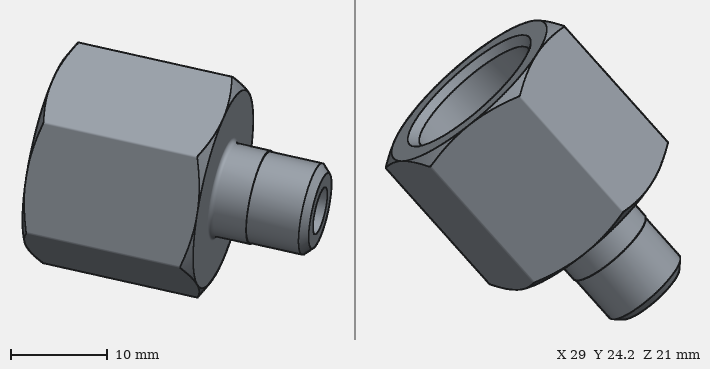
import cadquery as cq
import math

total_length = 29
hex_length = 18.5
collar_length = 4.0

across_flats = 21.0
corner_radius = 0.3
end_chamfer_angle = 30

collar_diameter = 9.92
stem_diameter = 9.72
stem_chamfer = 0.85
neck_fillet = 0.5

entry_diameter = 16.65
entry_chamfer_depth = 0.85
thread_diameter = 14.95
thread_depth = 9.7
relief_diameter = 15.15
relief_length = 4.0
bore_depth = thread_depth + relief_length
floor_fillet = 0.5

passage_diameter = 5.0
passage_chamfer = 0.5


def revolve_about_x(profile):
    """Turn a profile drawn in the XY plane (X along the axis, Y as radius)."""
    return profile.close().revolve(360, (0, 0), (1, 0))


def make_hexagon():
    across_corners = across_flats / math.cos(math.pi / 6)
    prism = (
        cq.Workplane("YZ")
        .polygon(6, across_corners)
        .extrude(hex_length)
        .edges("|X")
        .fillet(corner_radius)
    )

    face_radius = across_flats / 2
    corner_reach = across_corners / 2
    chamfer_length = (corner_reach - face_radius) * math.tan(math.radians(end_chamfer_angle))
    envelope = revolve_about_x(
        cq.Workplane("XY")
        .lineTo(0, face_radius)
        .lineTo(chamfer_length, corner_reach)
        .lineTo(hex_length - chamfer_length, corner_reach)
        .lineTo(hex_length, face_radius)
        .lineTo(hex_length, 0)
    )
    return prism.intersect(envelope)


def make_stem():
    collar_radius = collar_diameter / 2
    stem_radius = stem_diameter / 2
    collar_end = hex_length + collar_length
    root = bore_depth
    return revolve_about_x(
        cq.Workplane("XY")
        .moveTo(root, 0)
        .lineTo(root, collar_radius + neck_fillet)
        .lineTo(hex_length, collar_radius + neck_fillet)
        .radiusArc((hex_length + neck_fillet, collar_radius), -neck_fillet)
        .lineTo(collar_end, collar_radius)
        .lineTo(collar_end, stem_radius)
        .lineTo(total_length - stem_chamfer, stem_radius)
        .lineTo(total_length, stem_radius - stem_chamfer)
        .lineTo(total_length, 0)
    )


def make_bore():
    thread_radius = thread_diameter / 2
    relief_radius = relief_diameter / 2
    passage_radius = passage_diameter / 2
    return revolve_about_x(
        cq.Workplane("XY")
        .lineTo(0, entry_diameter / 2)
        .lineTo(entry_chamfer_depth, thread_radius)
        .lineTo(thread_depth, thread_radius)
        .lineTo(thread_depth, relief_radius)
        .lineTo(bore_depth - floor_fillet, relief_radius)
        .radiusArc((bore_depth, relief_radius - floor_fillet), floor_fillet)
        .lineTo(bore_depth, passage_radius + passage_chamfer)
        .lineTo(bore_depth + passage_chamfer, passage_radius)
        .lineTo(total_length, passage_radius)
        .lineTo(total_length, 0)
    )


result = make_hexagon().union(make_stem()).cut(make_bore())